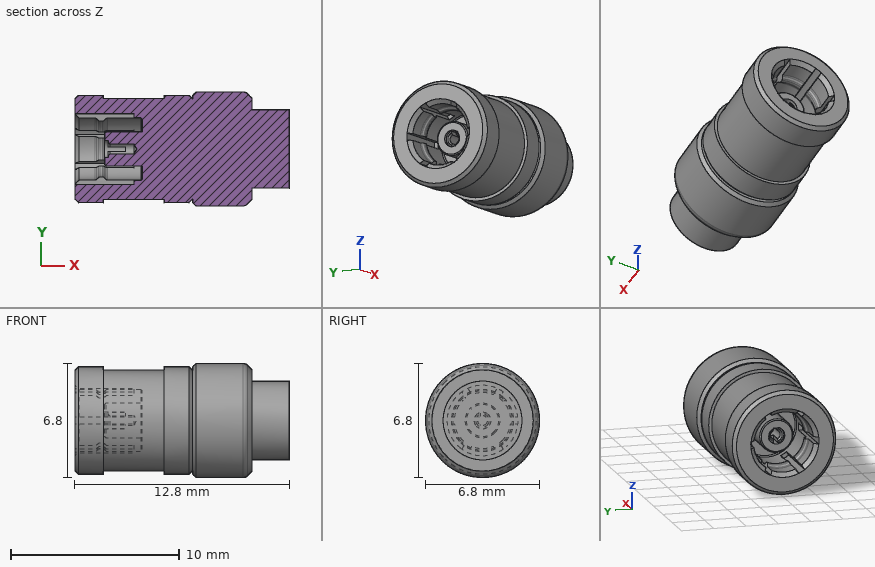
import cadquery as cq
import math

LENGTH = 12.75
SLEEVE_RADIUS = 3.2
GRIP_RADIUS = 3.01
GRIP_START = 1.7
GRIP_END = 5.3
SLEEVE_LENGTH = 7.0
NUT_RADIUS = 6.8 / 2
NUT_END = 10.55
TAIL_RADIUS = 2.35
EDGE_CHAMFER = 0.2

SHOULDER_RADIUS = 0.38
REAR_CHAMFER = 0.27
SHOULDER_TURN = math.radians(45)

MOUTH_RADIUS = 2.1
MOUTH_CHAMFER_LENGTH = 0.25
SOCKET_RADIUS = 1.85
SOCKET_DEPTH = 4.0
FLOOR_CHAMFER = 0.08

RIDGE_CENTER = 1.57
RIDGE_TOP_LENGTH = 0.25
RIDGE_HEIGHT = 0.18
RIDGE_FILLET = 0.13
RIDGE_FLANK_ANGLE = math.radians(45)

SLOT_COUNT = 6
SLOT_WIDTH = 0.42
SLOT_DEPTH = 3.5

BOSS_RADIUS = 1.03
BOSS_FACE = 1.77
BOSS_CHAMFER = 0.08

CONTACT_RADIUS = 0.5
CONTACT_RECESS = 0.2
COUNTERSINK_RADIUS = 0.4
CONTACT_BORE_RADIUS = 0.29
CONTACT_BORE_DEPTH = 1.53
DRILL_POINT_LENGTH = 0.17
CONTACT_FACE = BOSS_FACE + CONTACT_RECESS
SLIT_WIDTH = 0.27
SLIT_DEPTH = 1.02


def revolve_about_x(profile):
    return profile.close().revolve(360, (0, 0, 0), (1, 0, 0))


def make_body():
    shoulder_length = SHOULDER_RADIUS * math.sin(SHOULDER_TURN)
    shoulder_drop = SHOULDER_RADIUS * (1 - math.cos(SHOULDER_TURN))
    chamfer_start = NUT_END - REAR_CHAMFER
    shoulder_start = chamfer_start - shoulder_length
    shoulder_middle = (
        shoulder_start + SHOULDER_RADIUS * math.sin(SHOULDER_TURN / 2),
        NUT_RADIUS - SHOULDER_RADIUS * (1 - math.cos(SHOULDER_TURN / 2)),
    )
    shoulder_end_radius = NUT_RADIUS - shoulder_drop
    profile = (
        cq.Workplane("XY")
        .moveTo(0, 0)
        .lineTo(0, SLEEVE_RADIUS - EDGE_CHAMFER)
        .lineTo(EDGE_CHAMFER, SLEEVE_RADIUS)
        .lineTo(GRIP_START, SLEEVE_RADIUS)
        .lineTo(GRIP_START, GRIP_RADIUS)
        .lineTo(GRIP_END, GRIP_RADIUS)
        .lineTo(GRIP_END, SLEEVE_RADIUS)
        .lineTo(SLEEVE_LENGTH - EDGE_CHAMFER, SLEEVE_RADIUS)
        .lineTo(SLEEVE_LENGTH, SLEEVE_RADIUS - EDGE_CHAMFER)
        .lineTo(SLEEVE_LENGTH, NUT_RADIUS - EDGE_CHAMFER)
        .lineTo(SLEEVE_LENGTH + EDGE_CHAMFER, NUT_RADIUS)
        .lineTo(shoulder_start, NUT_RADIUS)
        .threePointArc(shoulder_middle, (chamfer_start, shoulder_end_radius))
        .lineTo(NUT_END, shoulder_end_radius - REAR_CHAMFER)
        .lineTo(NUT_END, TAIL_RADIUS)
        .lineTo(LENGTH, TAIL_RADIUS)
        .lineTo(LENGTH, 0)
    )
    return revolve_about_x(profile)


def make_socket_void():
    """Space inside the fingers, narrowed by the latching ridge."""
    mouth = (
        cq.Workplane("XY")
        .moveTo(0, 0)
        .lineTo(0, MOUTH_RADIUS)
        .lineTo(MOUTH_CHAMFER_LENGTH, SOCKET_RADIUS)
        .lineTo(SOCKET_DEPTH - FLOOR_CHAMFER, SOCKET_RADIUS)
        .lineTo(SOCKET_DEPTH, SOCKET_RADIUS - FLOOR_CHAMFER)
        .lineTo(SOCKET_DEPTH, 0)
    )
    return revolve_about_x(mouth).cut(make_ridge())


def make_ridge():
    """Ring with sloping flanks, blended into the finger bore and at its crest."""
    crest_radius = SOCKET_RADIUS - RIDGE_HEIGHT
    half_top = RIDGE_TOP_LENGTH / 2
    half_base = half_top + RIDGE_HEIGHT / math.tan(RIDGE_FLANK_ANGLE)
    blend_tangent = RIDGE_FILLET * math.tan(RIDGE_FLANK_ANGLE / 2)
    half_skirt = half_base + 2 * blend_tangent
    profile = (
        cq.Workplane("XY")
        .moveTo(RIDGE_CENTER - half_skirt, MOUTH_RADIUS)
        .lineTo(RIDGE_CENTER - half_skirt, SOCKET_RADIUS)
        .lineTo(RIDGE_CENTER - half_base, SOCKET_RADIUS)
        .lineTo(RIDGE_CENTER - half_top, crest_radius)
        .lineTo(RIDGE_CENTER + half_top, crest_radius)
        .lineTo(RIDGE_CENTER + half_base, SOCKET_RADIUS)
        .lineTo(RIDGE_CENTER + half_skirt, SOCKET_RADIUS)
        .lineTo(RIDGE_CENTER + half_skirt, MOUTH_RADIUS)
    )
    ring = revolve_about_x(profile)
    base_and_crest = cq.selectors.BoxSelector(
        (RIDGE_CENTER - half_base - blend_tangent, -MOUTH_RADIUS, -MOUTH_RADIUS),
        (RIDGE_CENTER + half_base + blend_tangent, MOUTH_RADIUS, MOUTH_RADIUS),
    )
    return ring.edges("%CIRCLE").edges(base_and_crest).fillet(RIDGE_FILLET)


def make_slots():
    """Radial slots, each bar making an opposite pair, rounded off at the mouth radius."""
    slots = cq.Workplane("XY")
    for index in range(SLOT_COUNT // 2):
        slot = (
            cq.Workplane("XY")
            .box(SLOT_DEPTH, 2 * SLEEVE_RADIUS, SLOT_WIDTH, centered=(False, True, True))
            .rotate((0, 0, 0), (1, 0, 0), index * 360 / SLOT_COUNT)
        )
        slots = slots.add(slot)
    limit = cq.Workplane("YZ").circle(MOUTH_RADIUS).extrude(SLOT_DEPTH)
    return slots.combine().intersect(limit)


def make_boss():
    return (
        cq.Workplane("YZ", origin=(BOSS_FACE, 0, 0))
        .circle(BOSS_RADIUS)
        .extrude(SOCKET_DEPTH - BOSS_FACE)
        .faces("<X")
        .chamfer(BOSS_CHAMFER)
    )


def make_contact_void():
    """Recess, countersunk bore with a drill point, and the slit across the contact."""
    countersink_end = CONTACT_FACE + COUNTERSINK_RADIUS - CONTACT_BORE_RADIUS
    bore_end = CONTACT_FACE + CONTACT_BORE_DEPTH
    bore = revolve_about_x(
        cq.Workplane("XY")
        .moveTo(BOSS_FACE, 0)
        .lineTo(BOSS_FACE, CONTACT_RADIUS)
        .lineTo(CONTACT_FACE, CONTACT_RADIUS)
        .lineTo(CONTACT_FACE, COUNTERSINK_RADIUS)
        .lineTo(countersink_end, CONTACT_BORE_RADIUS)
        .lineTo(bore_end, CONTACT_BORE_RADIUS)
        .lineTo(bore_end + DRILL_POINT_LENGTH, 0)
    )
    slit_profile = cq.Workplane("YZ", origin=(CONTACT_FACE, 0, 0))
    slit = slit_profile.rect(SLIT_WIDTH, 2 * CONTACT_RADIUS).extrude(SLIT_DEPTH)
    limit = slit_profile.circle(CONTACT_RADIUS).extrude(SLIT_DEPTH)
    return bore.union(slit.intersect(limit))


result = (
    make_body()
    .cut(make_socket_void())
    .cut(make_slots())
    .union(make_boss())
    .cut(make_contact_void())
)